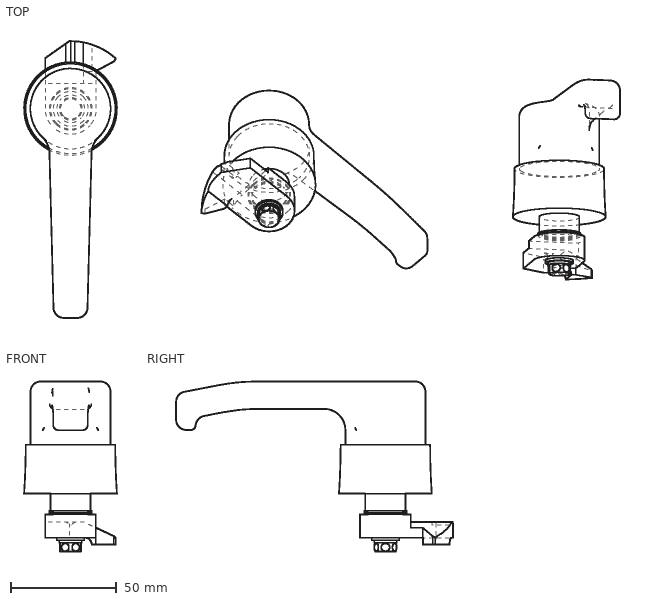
import cadquery as cq
import math


tolerance = 0.01

handle_top = 53.0
collar_top = 23.2
cam_top = -9.8
cam_bottom = -21.0
screw_bottom = -27.5

hub_radius = 19.0
soft_radius = 5.0

arm_end_y = -99.0
arm_bend_y = -60.3
arm_depth = 13.1
bend_angle = math.radians(11.0)
bend_radius = 99.5
neck_y = -21.0
blend_radius = 10.0
side_taper = math.radians(1.5)
underside_radius = 2.4
hook_inner_y = -89.7
hook_bottom = handle_top - arm_depth - blend_radius

collar_bottom_radius = 22.0
collar_top_radius = 21.2

spindle_radius = 9.5
spindle_shoulder = -8.1
spindle_neck_radius = 8.3
ring_radius = 10.1
ring_thickness = 0.9

cam_radius = 12.0
cam_reach = 32.0
nose_top = -13.4
nose_shoulder_y = 23.8
nose_peak_x = -0.5
wing_root_y = 17.7
wing_tip_x = 21.5
wing_tip_inner = (20.6, 22.3)
wing_slope_x = 6.0
wing_slope_angle = math.radians(24.9)
wing_tip_rounding = 1.8
boss_bottom = -24.1
boss_left_x = 10.0
boss_fillet = 3.0
groove_left_x = -2.2
groove_middle_x = 0.0
groove_right_x = 2.1
groove_depth = 1.3
groove_start_y = 21.9

flange_radius = 6.5
flange_bottom = -22.1
neck_radius = 5.4
neck_bottom = -23.3
head_middle_radius = 5.4
head_end_radius = 4.8
head_across_flats = 10.0
hexagon_sides = 6


def cylinder(radius, bottom, top):
    return cq.Workplane("XY").workplane(offset=bottom).circle(radius).extrude(top - bottom)


def arm_plan():
    """Arm seen along Z, joined to the hub by tangent side blends."""
    reach = hub_radius + blend_radius
    blend_x = math.sqrt(reach**2 - neck_y**2)
    hub_x = blend_x * hub_radius / reach
    hub_y = neck_y * hub_radius / reach
    side_x = blend_x - blend_radius * math.cos(side_taper)
    side_y = neck_y + blend_radius * math.sin(side_taper)
    hub_angle = math.atan2(-neck_y, -blend_x)
    middle_angle = (hub_angle + math.pi - side_taper) / 2
    middle_x = blend_x + blend_radius * math.cos(middle_angle)
    middle_y = neck_y + blend_radius * math.sin(middle_angle)
    end_x = side_x - (side_y - arm_end_y) * math.tan(side_taper)
    return (
        cq.Workplane("XY", origin=(0, 0, hook_bottom))
        .moveTo(0, 0)
        .lineTo(hub_x, hub_y)
        .threePointArc((middle_x, middle_y), (side_x, side_y))
        .lineTo(end_x, arm_end_y)
        .lineTo(-end_x, arm_end_y)
        .lineTo(-side_x, side_y)
        .threePointArc((-middle_x, middle_y), (-hub_x, hub_y))
        .close()
        .extrude(handle_top - hook_bottom)
    )


def arm_side():
    """Arm seen along X: straight, then bent down, then hooked at the end."""
    slope = math.tan(bend_angle)
    lower_radius = bend_radius - arm_depth
    bend_centre_z = handle_top - bend_radius

    def on_bend(radius, angle):
        return (
            arm_bend_y - radius * math.sin(angle),
            bend_centre_z + radius * math.cos(angle),
        )

    upper_end = on_bend(bend_radius, bend_angle)
    lower_end = on_bend(lower_radius, bend_angle)
    tip_z = upper_end[1] - (upper_end[0] - arm_end_y) * slope
    hook_z = lower_end[1] - (lower_end[0] - hook_inner_y) * slope
    profile = (
        cq.Workplane("YZ", origin=(-hub_radius, 0, 0))
        .moveTo(0, handle_top)
        .lineTo(arm_bend_y, handle_top)
        .threePointArc(on_bend(bend_radius, bend_angle / 2), upper_end)
        .lineTo(arm_end_y, tip_z)
        .lineTo(arm_end_y, hook_bottom)
        .lineTo(hook_inner_y, hook_bottom)
        .lineTo(hook_inner_y, hook_z)
        .lineTo(*lower_end)
        .threePointArc(on_bend(lower_radius, bend_angle / 2), on_bend(lower_radius, 0))
        .lineTo(0, handle_top - arm_depth)
        .close()
        .extrude(2 * hub_radius)
    )
    hook_corner = cq.selectors.NearestToPointSelector((0, hook_inner_y, hook_z))
    return profile.edges(hook_corner).fillet(soft_radius)


def underside_blend():
    """Ring of material that rounds the hub wall into the underside of the arm."""
    outer = hub_radius + blend_radius
    arm_bottom = hook_bottom + blend_radius
    diagonal = blend_radius * math.sqrt(0.5)
    return (
        cq.Workplane("XZ")
        .moveTo(0, hook_bottom)
        .lineTo(hub_radius, hook_bottom)
        .threePointArc((outer - diagonal, hook_bottom + diagonal), (outer, arm_bottom))
        .lineTo(0, arm_bottom)
        .close()
        .revolve(360, (0, 0, 0), (0, 1, 0))
    )


def runs_across(edge):
    """True for the straight edges parallel to X."""
    return edge.geomType() == "LINE" and abs(edge.tangentAt(0).x) > 1.3 - tolerance


def is_soft_edge(edge):
    """Top rim of the handle and all the edges round the end face of the grip."""
    box = edge.BoundingBox()
    on_end_face = abs(box.ymax - arm_end_y) < tolerance
    on_rim = box.zmin > handle_top - arm_depth / 2 and not runs_across(edge)
    vertical_seam = box.zmax - box.zmin > arm_depth
    return on_end_face or (on_rim and not vertical_seam)


def is_underside_edge(edge):
    """Lower side edges of the arm and the inner edge of the hook's foot."""
    box = edge.BoundingBox()
    arm_bottom = handle_top - arm_depth
    below_arm = box.zmin > hook_bottom - tolerance and box.zmax < arm_bottom + tolerance
    along_side = edge.geomType() != "CIRCLE" and not runs_across(edge)
    foot_inner = abs(box.ymin - hook_inner_y) < tolerance and box.zmax < hook_bottom + tolerance
    return below_arm and (along_side or foot_inner)


def fillet_where(body, radius, wanted):
    edges = [edge for edge in body.edges().vals() if wanted(edge)]
    return body.newObject(edges).fillet(radius)


def make_handle():
    arm = arm_plan().intersect(arm_side().union(underside_blend()))
    handle = cylinder(hub_radius, collar_top, handle_top).union(arm)
    handle = fillet_where(handle, soft_radius, is_soft_edge)
    return fillet_where(handle, underside_radius, is_underside_edge)


def make_collar():
    """Turned sleeve whose wall is upright at the top and flares out toward the bottom."""
    flare = collar_bottom_radius - collar_top_radius
    middle = (-collar_top_radius - flare / 4, collar_top / 2)
    return (
        cq.Workplane("YZ")
        .moveTo(0, 0)
        .lineTo(-collar_bottom_radius, 0)
        .threePointArc(middle, (-collar_top_radius, collar_top))
        .lineTo(0, collar_top)
        .close()
        .revolve(360, (0, 0, 0), (0, 1, 0))
    )


def make_spindle():
    shank = cylinder(spindle_radius, spindle_shoulder, 0)
    return shank.union(cylinder(spindle_neck_radius, cam_top, spindle_shoulder))


def make_ring():
    bottom = spindle_shoulder - ring_thickness
    ring = cylinder(ring_radius, bottom, spindle_shoulder)
    return ring.cut(cylinder(spindle_neck_radius, bottom, spindle_shoulder))


def on_reach(x):
    """Point on the outer arc of the cam at the given X."""
    return (x, math.sqrt(cam_reach**2 - x**2))


def cam_plan():
    return (
        cq.Workplane("XY", origin=(0, 0, boss_bottom))
        .moveTo(-cam_radius, 0)
        .lineTo(-cam_radius, nose_shoulder_y)
        .lineTo(*on_reach(nose_peak_x))
        .threePointArc(on_reach(wing_tip_x / 2), on_reach(wing_tip_x))
        .lineTo(*wing_tip_inner)
        .lineTo(cam_radius, wing_root_y)
        .lineTo(cam_radius, 0)
        .threePointArc((0, -cam_radius), (-cam_radius, 0))
        .close()
        .extrude(cam_top - boss_bottom)
    )


def extrude_along_y(start_y, end_y, points):
    """Prism with the given X-Z outline between two Y positions."""
    outline = cq.Workplane("XZ", origin=(0, start_y, 0)).polyline(points).close()
    return outline.extrude(start_y - end_y)


def nose_profile():
    """Height of the nose: flat, then the sloping wing with its boss underneath."""
    slope_end_z = nose_top - (wing_tip_x - wing_slope_x) * math.tan(wing_slope_angle)
    nose = extrude_along_y(
        cam_radius,
        cam_reach,
        [
            (-cam_radius, nose_top),
            (wing_slope_x, nose_top),
            (wing_tip_x, slope_end_z),
            (wing_tip_x, boss_bottom),
            (boss_left_x, boss_bottom),
            (boss_left_x, cam_bottom),
            (-cam_radius, cam_bottom),
        ],
    )
    tip_edge = cq.selectors.NearestToPointSelector((wing_tip_x, cam_reach, slope_end_z))
    boss_root = cq.selectors.NearestToPointSelector((boss_left_x, wing_root_y, cam_bottom))
    nose = nose.edges("|Y").edges(tip_edge).fillet(wing_tip_rounding)
    nose = nose.edges("|Y").edges(boss_root).fillet(boss_fillet)
    clearance = cq.Workplane("XY").box(
        2 * wing_tip_x, wing_root_y, cam_bottom - boss_bottom, centered=(True, False, False)
    )
    return nose.cut(clearance.translate((0, 0, boss_bottom)))


def make_cam():
    hub_block = cq.Workplane("XY").box(2 * cam_radius, 2 * cam_radius, cam_top - cam_bottom)
    hub_block = hub_block.translate((0, 0, (cam_top + cam_bottom) / 2))
    groove = extrude_along_y(
        groove_start_y,
        cam_reach,
        [
            (groove_left_x, nose_top),
            (groove_middle_x, nose_top - groove_depth),
            (groove_right_x, nose_top),
        ],
    )
    return cam_plan().intersect(hub_block.union(nose_profile())).cut(groove)


def make_screw():
    """Flange, neck and a barrel-shaped head with a round flat on each hexagon side."""
    barrel = (
        cq.Workplane("XZ")
        .moveTo(0, screw_bottom)
        .lineTo(head_end_radius, screw_bottom)
        .threePointArc(
            (head_middle_radius, (screw_bottom + neck_bottom) / 2),
            (head_end_radius, neck_bottom),
        )
        .lineTo(0, neck_bottom)
        .close()
        .revolve(360, (0, 0, 0), (0, 1, 0))
    )
    hexagon = (
        cq.Workplane("XY", origin=(0, 0, screw_bottom))
        .polygon(hexagon_sides, head_across_flats, circumscribed=True)
        .extrude(neck_bottom - screw_bottom)
    )
    flange = cylinder(flange_radius, flange_bottom, cam_bottom)
    neck = cylinder(neck_radius, neck_bottom, flange_bottom)
    return barrel.intersect(hexagon).union(neck).union(flange)


handle = make_handle()
collar = make_collar()
spindle = make_spindle()
ring = make_ring()
cam = make_cam()
screw = make_screw()

result = cq.Compound.makeCompound(
    [handle.val(), collar.val(), spindle.val(), ring.val(), cam.val(), screw.val()]
)